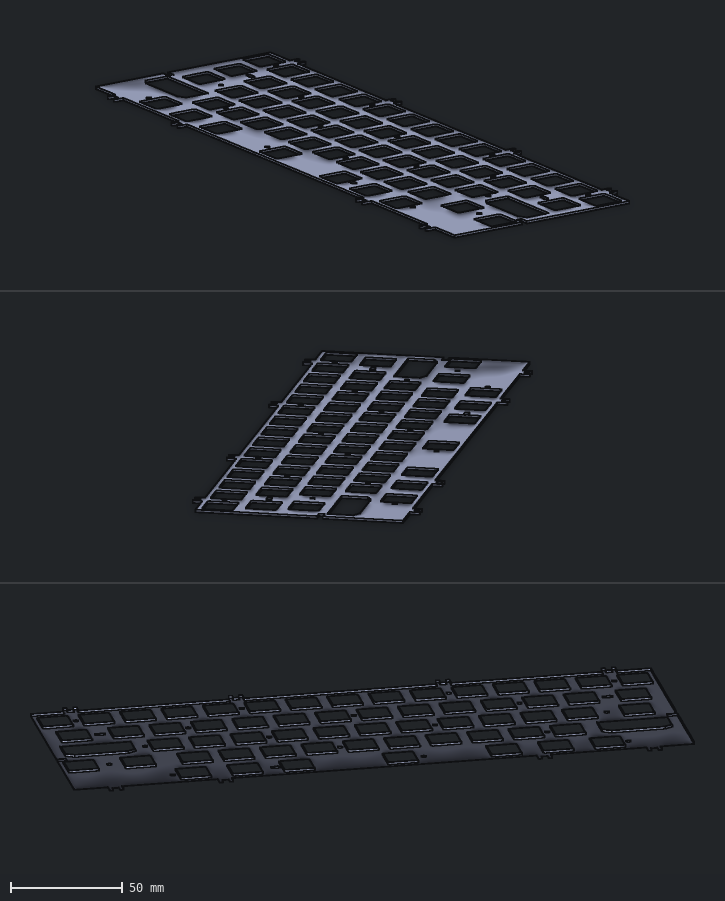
import cadquery as cq

UNIT = 19.02
ROWS = 5
ROW_UNITS = 15

THICKNESS = 1.21
PLATE_LENGTH = 284.67
PLATE_DEPTH = 95.25
TOTAL_DEPTH = 104.16

SWITCH_SIZE = 14.2
SWITCH_CORNER_RADIUS = 1.0
SWITCH_CENTRES = [
    [0.5 + i for i in range(15)],
    [0.75] + [2.0 + i for i in range(12)] + [14.25],
    [0.875] + [2.25 + i for i in range(11)],
    [2.75 + i for i in range(10)] + [13.125, 14.5],
    [2.0, 3.25, 4.5, 7.0, 9.5, 10.75, 12.0],
]

WIDE_OPENINGS = [(13.875, 2), (1.125, 3)]
WIDE_LENGTH = 32.5
WIDE_CHAMFER_LENGTH = 4.0
WIDE_CHAMFER_DEPTH = 2.2

HOLE_DIAMETER = 2.2
HOLE_CENTRES = [
    (1.0, 0), (5.0, 0), (10.0, 0), (14.0, 0),
    (3.5, 1), (7.5, 1), (11.5, 1),
    (1.6, 2), (5.75, 2), (9.75, 2), (12.75, 2),
    (3.25, 3), (8.25, 3), (13.82, 3),
    (1.5, 4), (6.44, 4), (12.5, 4),
]
SLOT_LENGTH = 4.8
SLOT_CENTRES = [(1.375, 1), (13.625, 1), (10.0, 4)]

TAB_WIDTH = 6.4
TAB_REACH = (TOTAL_DEPTH - PLATE_DEPTH) / 2
TAB_SLOT_WIDTH = 3.0
TAB_SLOT_DEPTH = 2.9
TAB_TIP_RADIUS = 0.6
REAR_TAB_CENTRES = [1.0, 5.0, 10.0, 14.0]
FRONT_TAB_CENTRES = [1.0, 3.65, 11.35, 14.0]

NOTCH_DEPTH = 4.4
NOTCH_WIDTH = 2.6
NOTCH_Y = -UNIT / 2


def grid_x(units):
    return (units - ROW_UNITS / 2) * UNIT


def row_y(row):
    return ((ROWS - 1) / 2 - row) * UNIT


def grid_points(places):
    return [(grid_x(units), row_y(row)) for units, row in places]


def block(length, depth, x, y):
    return cq.Workplane("XY").center(x, y).rect(length, depth).extrude(THICKNESS)


def switch_openings():
    places = [(units, row) for row, centres in enumerate(SWITCH_CENTRES) for units in centres]
    openings = cq.Workplane("XY").pushPoints(grid_points(places))
    openings = openings.rect(SWITCH_SIZE, SWITCH_SIZE).extrude(THICKNESS)
    return openings.edges("|Z").fillet(SWITCH_CORNER_RADIUS)


def wide_opening(x, y):
    half_length = WIDE_LENGTH / 2
    half_depth = SWITCH_SIZE / 2
    outline = [
        (half_length, half_depth),
        (-half_length, half_depth),
        (-half_length, WIDE_CHAMFER_DEPTH - half_depth),
        (WIDE_CHAMFER_LENGTH - half_length, -half_depth),
        (half_length - WIDE_CHAMFER_LENGTH, -half_depth),
        (half_length, WIDE_CHAMFER_DEPTH - half_depth),
    ]
    return cq.Workplane("XY").center(x, y).polyline(outline).close().extrude(THICKNESS)


def holes_and_slots():
    holes = cq.Workplane("XY").pushPoints(grid_points(HOLE_CENTRES))
    holes = holes.circle(HOLE_DIAMETER / 2).extrude(THICKNESS)
    slots = cq.Workplane("XY").pushPoints(grid_points(SLOT_CENTRES))
    slots = slots.slot2D(SLOT_LENGTH, HOLE_DIAMETER).extrude(THICKNESS)
    return holes.add(slots).combine()


def tab(x, outward):
    """Forked tab at x, pointing along +Y (outward = 1) or -Y (outward = -1)."""
    edge_y = outward * PLATE_DEPTH / 2
    tip_y = edge_y + outward * TAB_REACH
    body = block(TAB_WIDTH, TAB_REACH, x, (edge_y + tip_y) / 2)
    body = body.cut(block(TAB_SLOT_WIDTH, 2 * TAB_SLOT_DEPTH, x, tip_y))
    tip_side = ">Y" if outward > 0 else "<Y"
    return body.faces(tip_side).edges("|Z").fillet(TAB_TIP_RADIUS)


plate = block(PLATE_LENGTH, PLATE_DEPTH, 0, 0)
for centre in REAR_TAB_CENTRES:
    plate = plate.union(tab(grid_x(centre), 1))
for centre in FRONT_TAB_CENTRES:
    plate = plate.union(tab(grid_x(centre), -1))

plate = plate.cut(switch_openings())
for x, y in grid_points(WIDE_OPENINGS):
    plate = plate.cut(wide_opening(x, y))
plate = plate.cut(holes_and_slots())
for end in (-1, 1):
    plate = plate.cut(block(2 * NOTCH_DEPTH, NOTCH_WIDTH, end * PLATE_LENGTH / 2, NOTCH_Y))

result = plate